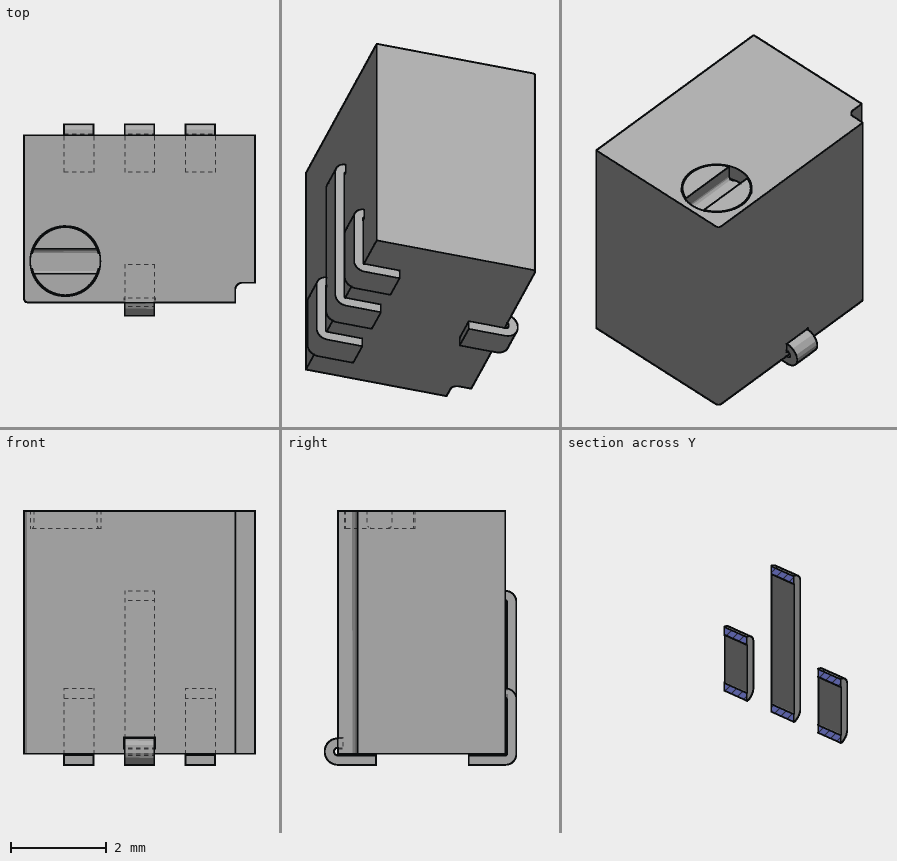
import cadquery as cq

TOTAL_DEPTH = 4.01
TOTAL_HEIGHT = 5.31

BODY_WIDTH = 4.83
BODY_DEPTH = 3.5
STANDOFF = 0.23
CORNER_RADIUS = 0.08
NOTCH_SIZE = 0.41
NOTCH_RADIUS = 0.14

SCREW_CORNER_DISTANCE = 0.865
SCREW_BORE_DIAMETER = 1.47
SCREW_GAP = 0.025
SLOT_WIDTH = 0.52
SLOT_DEPTH = 0.36
SLOT_FLOOR_RADIUS = 0.1

LEAD_THICKNESS = 0.2
LEAD_WIDTH = 0.62
LEAD_PITCH = 1.27
BACK_LEAD_GAP = 0.03
BACK_FOOT_LENGTH = 0.77
OUTER_LEAD_TOP = 1.6
MIDDLE_LEAD_TOP = 3.64
FRONT_FOOT_LENGTH = 0.8
LEAD_EMBED = 0.1

RECESS_CLEARANCE = 0.02
RECESS_DEPTH = LEAD_EMBED

LEFT_FACE = -BODY_WIDTH / 2
RIGHT_FACE = BODY_WIDTH / 2
FRONT_FACE = -BODY_DEPTH / 2
BACK_FACE = BODY_DEPTH / 2

BACK_BEND_RADIUS = BACK_LEAD_GAP + LEAD_THICKNESS
FRONT_BEND_RADIUS = TOTAL_DEPTH - BODY_DEPTH - BACK_BEND_RADIUS


def box_between(x_range, y_range, z_range):
    """Box spanning the given (low, high) pairs."""
    sizes = [high - low for low, high in (x_range, y_range, z_range)]
    corner = (x_range[0], y_range[0], z_range[0])
    return cq.Workplane("XY").box(*sizes, centered=False).translate(corner)


def make_housing():
    """Block with one rounded corner and a notch in the opposite front corner."""
    block = box_between(
        (LEFT_FACE, RIGHT_FACE), (FRONT_FACE, BACK_FACE), (STANDOFF, TOTAL_HEIGHT)
    )
    block = block.edges("|Z and <X and <Y").fillet(CORNER_RADIUS)
    notch = box_between(
        (RIGHT_FACE - NOTCH_SIZE, RIGHT_FACE),
        (FRONT_FACE, FRONT_FACE + NOTCH_SIZE),
        (STANDOFF, TOTAL_HEIGHT),
    )
    notch = notch.edges("|Z and <X and >Y").fillet(NOTCH_RADIUS)
    return block.cut(notch)


def make_screw_cut():
    """Ring gap around the screw head joined with its slot, which has rounded floor edges."""
    bore_radius = SCREW_BORE_DIAMETER / 2
    center = (LEFT_FACE + SCREW_CORNER_DISTANCE, FRONT_FACE + SCREW_CORNER_DISTANCE)
    top = cq.Workplane("XY", origin=(*center, TOTAL_HEIGHT))
    bore = top.circle(bore_radius).extrude(-SLOT_DEPTH)
    gap = bore.cut(top.circle(bore_radius - SCREW_GAP).extrude(-SLOT_DEPTH))
    slot = top.rect(SCREW_BORE_DIAMETER, SLOT_WIDTH).extrude(-SLOT_DEPTH)
    slot = slot.edges("|X and <Z").fillet(SLOT_FLOOR_RADIUS)
    return gap.union(slot.intersect(bore))


def make_back_lead(x_center, top_z):
    """Lead leaving the back face, running down it and folding under the housing."""
    outer = BACK_BEND_RADIUS
    inner = BACK_LEAD_GAP
    upper_z = top_z - outer
    lower_z = outer
    foot_end = BACK_FACE - BACK_FOOT_LENGTH
    return (
        cq.Workplane("YZ", origin=(x_center, 0, 0))
        .moveTo(BACK_FACE - LEAD_EMBED, top_z)
        .lineTo(BACK_FACE, top_z)
        .radiusArc((BACK_FACE + outer, upper_z), outer)
        .lineTo(BACK_FACE + outer, lower_z)
        .radiusArc((BACK_FACE, 0), outer)
        .lineTo(foot_end, 0)
        .lineTo(foot_end, LEAD_THICKNESS)
        .lineTo(BACK_FACE, LEAD_THICKNESS)
        .radiusArc((BACK_FACE + inner, lower_z), -inner)
        .lineTo(BACK_FACE + inner, upper_z)
        .radiusArc((BACK_FACE, upper_z + inner), -inner)
        .lineTo(BACK_FACE - LEAD_EMBED, upper_z + inner)
        .close()
        .extrude(LEAD_WIDTH / 2, both=True)
    )


def make_front_lead():
    """Lead leaving the front face and curling back under the housing."""
    outer = FRONT_BEND_RADIUS
    inner = outer - LEAD_THICKNESS
    top_z = 2 * outer
    foot_end = FRONT_FACE + FRONT_FOOT_LENGTH
    embedded_end = FRONT_FACE + LEAD_EMBED
    return (
        cq.Workplane("YZ")
        .moveTo(embedded_end, top_z)
        .lineTo(FRONT_FACE, top_z)
        .threePointArc((FRONT_FACE - outer, outer), (FRONT_FACE, 0))
        .lineTo(foot_end, 0)
        .lineTo(foot_end, LEAD_THICKNESS)
        .lineTo(FRONT_FACE, LEAD_THICKNESS)
        .threePointArc((FRONT_FACE - inner, outer), (FRONT_FACE, outer + inner))
        .lineTo(embedded_end, outer + inner)
        .close()
        .extrude(LEAD_WIDTH / 2, both=True)
    )


def make_front_recess():
    """Shallow pocket that leaves clearance around the root of the front lead."""
    half_width = LEAD_WIDTH / 2 + RECESS_CLEARANCE
    lead_top = 2 * FRONT_BEND_RADIUS
    return box_between(
        (-half_width, half_width),
        (FRONT_FACE, FRONT_FACE + RECESS_DEPTH),
        (lead_top - LEAD_THICKNESS - RECESS_CLEARANCE, lead_top + RECESS_CLEARANCE),
    )


result = make_housing().cut(make_screw_cut()).cut(make_front_recess())
result = result.union(make_front_lead())
for position, top_z in ((-1, OUTER_LEAD_TOP), (0, MIDDLE_LEAD_TOP), (1, OUTER_LEAD_TOP)):
    result = result.union(make_back_lead(position * LEAD_PITCH, top_z))